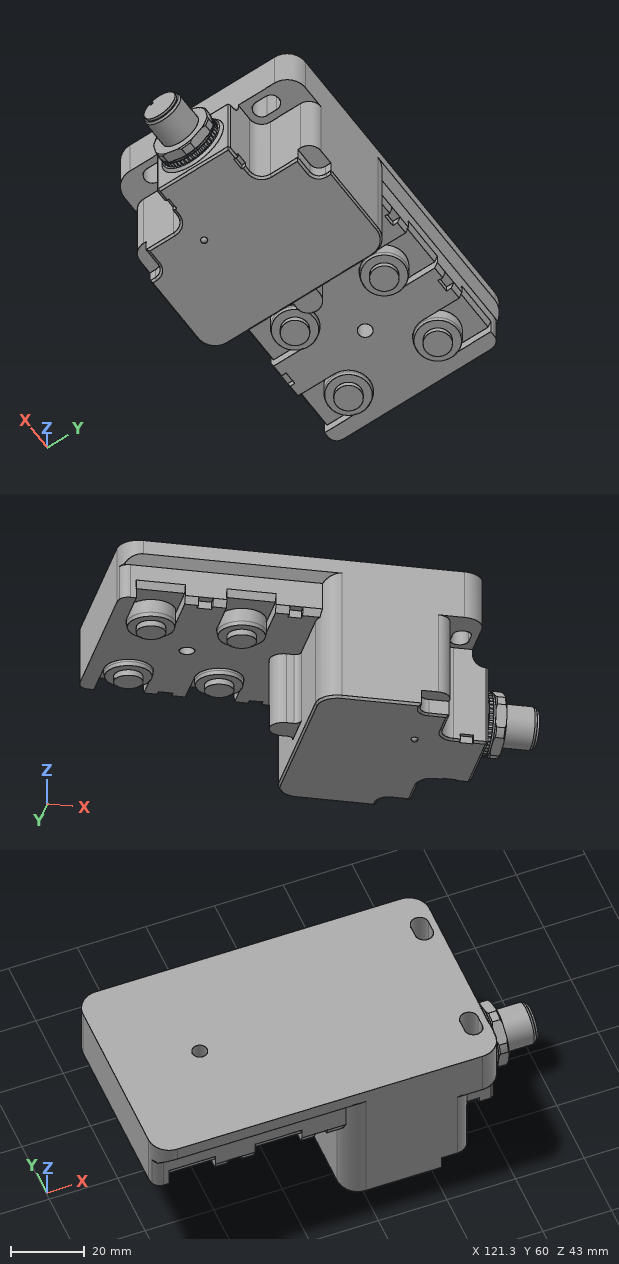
import cadquery as cq
import math


plate_length = 101.0
width = 60.0
half_width = width / 2
corner_radius = 6.1
block_left = 55.0
block_bottom = -42.1
base_chamfer_height = 0.7
base_chamfer_inset = 0.5

arm_bottom = -16.5
overhang_top = -4.1
side_step = 2.4
arm_half_width = half_width - side_step
step_bottom = overhang_top - side_step
arm_corner_radius = 3.0

relief_angle = 22.3
relief_height = 2.2
edge_notch_spans = [(22.0, 26.0), (47.2, 50.8)]
edge_notch_depth = 2.4

pad_x_places = [11.4, 36.5]
pad_y = 14.8
pad_diameter = 13.3
pad_top = -13.2
pad_bottom = -18.2
pad_taper_height = 1.1
pad_taper_inset = 0.2
stud_diameter = 8.0
stud_bottom = -19.9
pocket_diameter = 13.6
pocket_slope_top = -11.0

key_nose_radius = 3.9
key_nose_tip = 47.3
key_flare_radius = 1.7
key_bottom = -37.5

hub_end = 105.4
hub_half_width = 12.0
hub_top = -19.0
hub_fillet = 3.6
hub_chamfer_length = 0.7
hub_chamfer_inset = 0.4
flange_bottom = -14.0
shoulder_x = 91.7
shoulder_radius = 4.0

side_notch_left = 83.1
side_notch_depth = 4.9
side_notch_top = -37.5
side_notch_radius = 3.0
hub_notch_left = 97.6
hub_notch_right = 101.3
hub_notch_depth = 1.2
hub_notch_top = -40.0

dome_x = 85.3
dome_y = -10.4
dome_bottom = -43.0
dome_radius = 1.0

hole_diameter = 4.2
hole_x = 24.5
slot_x = 96.4
slot_y = 18.1
slot_width = 5.1
slot_length = 8.2

connector_z = -30.0
collar_end = 106.3
collar_base_radius = 10.2
collar_tip_radius = 9.5
knurl_end = 107.6
knurl_radius = 9.0
knurl_depth = 0.4
knurl_teeth = 44
neck_radius = 8.5
nut_start = 108.2
nut_end = 111.2
nut_across_flats = 17.2
nut_corner_diameter = 18.4
nut_chamfer = 0.4
nut_turn = 10.0
barrel_diameter = 12.0
barrel_end = 119.6
barrel_chamfer_end = 120.3
barrel_tip_diameter = 11.4
insert_diameter = 10.4
insert_end = 121.0
pin_diameter = 1.0
pin_end = 121.3
pin_y = -2.7
pin_z = connector_z + 3.5

relief_slope = math.tan(math.radians(relief_angle))


def box(x_min, x_max, y_min, y_max, z_min, z_max):
    """Axis-aligned box between the given limits."""
    return (
        cq.Workplane("XY")
        .box(x_max - x_min, y_max - y_min, z_max - z_min, centered=False)
        .translate((x_min, y_min, z_min))
    )


def x_disc(x_start, x_end, start_radius, end_radius):
    """Cylinder or cone about the connector axis."""
    profile = [(x_start, 0), (x_start, start_radius), (x_end, end_radius), (x_end, 0)]
    return (
        cq.Workplane("XZ")
        .polyline(profile)
        .close()
        .revolve(360, (0, 0, 0), (1, 0, 0))
        .translate((0, 0, connector_z))
    )


def both_sides(shape):
    """The shape together with its mirror image across Y = 0."""
    return shape.union(shape.mirror("XZ"))


def arm():
    """Plate with stepped sides; the lower part is narrower and has its own corner radius."""
    plate = box(0, plate_length, -half_width, half_width, arm_bottom, 0)
    plate = plate.edges("|Z").fillet(corner_radius)
    section = (
        cq.Workplane("YZ")
        .moveTo(-half_width, 0)
        .lineTo(half_width, 0)
        .lineTo(half_width, overhang_top)
        .lineTo(arm_half_width, step_bottom)
        .lineTo(arm_half_width, arm_bottom)
        .lineTo(-arm_half_width, arm_bottom)
        .lineTo(-arm_half_width, step_bottom)
        .lineTo(-half_width, overhang_top)
        .close()
        .extrude(plate_length)
    )
    lower = box(0, plate_length, -arm_half_width, arm_half_width, arm_bottom, step_bottom)
    lower = lower.edges("|Z and <X").fillet(arm_corner_radius)
    upper = box(0, plate_length, -half_width, half_width, step_bottom, 0)
    return plate.intersect(section).intersect(upper.union(lower))


def shoulder_cut():
    """Corner space beside the hub, bounded by an S-shaped wall, on the +Y side."""
    convex_start = shoulder_x - shoulder_radius
    concave_end = shoulder_x + shoulder_radius
    arc_reach = shoulder_radius * math.sqrt(0.5)
    return (
        cq.Workplane("XY", origin=(0, 0, block_bottom))
        .moveTo(convex_start, half_width)
        .threePointArc(
            (convex_start + arc_reach, half_width - shoulder_radius + arc_reach),
            (shoulder_x, half_width - shoulder_radius),
        )
        .lineTo(shoulder_x, hub_half_width + shoulder_radius)
        .threePointArc(
            (concave_end - arc_reach, hub_half_width + shoulder_radius - arc_reach),
            (concave_end, hub_half_width),
        )
        .lineTo(hub_end, hub_half_width)
        .lineTo(hub_end, half_width)
        .close()
        .extrude(flange_bottom - block_bottom)
    )


def side_notch():
    """Cut-out in the bottom edge of the block, ahead of the shoulder, on the +Y side."""
    back = half_width - side_notch_depth
    notch = box(side_notch_left, shoulder_x, back, half_width, block_bottom, side_notch_top)
    return notch.edges("|Z and <X and <Y").fillet(side_notch_radius)


def hub_notch():
    """Small square cut-out in the bottom edge of the hub on the +Y side."""
    back = hub_half_width - hub_notch_depth
    return box(hub_notch_left, hub_notch_right, back, hub_half_width, block_bottom, hub_notch_top)


def block():
    """Deep block with the hub, its shoulders and the chamfered base edge."""
    body = box(block_left, plate_length, -half_width, half_width, block_bottom, 0)
    body = body.edges("|Z").fillet(corner_radius)
    hub = box(plate_length - corner_radius, hub_end, -hub_half_width, hub_half_width, block_bottom, hub_top)
    fillet_offset = hub_fillet * (1 - math.sqrt(0.5))
    web = (
        cq.Workplane("XZ", origin=(0, hub_half_width, 0))
        .moveTo(plate_length, hub_top)
        .lineTo(plate_length, hub_top + hub_fillet)
        .threePointArc(
            (plate_length + fillet_offset, hub_top + fillet_offset),
            (plate_length + hub_fillet, hub_top),
        )
        .close()
        .extrude(2 * hub_half_width)
    )
    body = body.cut(both_sides(shoulder_cut())).union(hub)
    corner = (
        cq.Workplane("XY", origin=(0, 0, block_bottom))
        .moveTo(hub_end - hub_chamfer_length, hub_half_width)
        .lineTo(hub_end, hub_half_width)
        .lineTo(hub_end, hub_half_width - hub_chamfer_inset)
        .close()
        .extrude(hub_top - block_bottom)
    )
    body = body.cut(both_sides(corner)).cut(both_sides(side_notch()))
    body = body.faces("<Z").chamfer(base_chamfer_height, base_chamfer_inset)
    return body.union(web).cut(both_sides(hub_notch()))


def key():
    """Round-nosed rib flaring into the block's left wall with concave fillets."""
    nose_center = key_nose_tip + key_nose_radius
    flare_start = block_left - key_flare_radius
    flare_half_width = key_nose_radius + key_flare_radius
    arc_offset = key_flare_radius * (1 - math.sqrt(0.5))
    inner = block_left + corner_radius
    return (
        cq.Workplane("XY", origin=(0, 0, key_bottom))
        .moveTo(nose_center, -key_nose_radius)
        .threePointArc((key_nose_tip, 0), (nose_center, key_nose_radius))
        .lineTo(flare_start, key_nose_radius)
        .threePointArc(
            (block_left - arc_offset, key_nose_radius + arc_offset),
            (block_left, flare_half_width),
        )
        .lineTo(inner, flare_half_width)
        .lineTo(inner, -flare_half_width)
        .lineTo(block_left, -flare_half_width)
        .threePointArc(
            (block_left - arc_offset, -key_nose_radius - arc_offset),
            (flare_start, -key_nose_radius),
        )
        .close()
        .extrude(arm_bottom - key_bottom)
    )


def sloped_cut(x_min, x_max, slope_top, slope_bottom):
    """Wedge off the +Y side of the arm, deepening downwards at the relief angle."""
    depth = (slope_top - slope_bottom) * relief_slope
    return (
        cq.Workplane("YZ", origin=(x_min, 0, 0))
        .moveTo(arm_half_width, slope_top)
        .lineTo(arm_half_width, slope_bottom)
        .lineTo(arm_half_width - depth, slope_bottom)
        .close()
        .extrude(x_max - x_min)
    )


def edge_relief():
    """Sloped relief from the first pad to the block, with the notches cut deeper into it."""
    relief_top = arm_bottom + relief_height
    cutter = sloped_cut(pad_x_places[0], block_left + corner_radius, relief_top, arm_bottom)
    for left, right in edge_notch_spans:
        notch_floor = arm_half_width - edge_notch_depth
        cutter = cutter.union(box(left, right, notch_floor, arm_half_width, arm_bottom, relief_top))
    return cutter


def pad_pocket(x):
    """Round-ended pocket that runs from the pad out through the +Y side of the arm."""
    radius = pocket_diameter / 2
    height = pad_top - arm_bottom
    end = cq.Workplane("XY", origin=(x, pad_y, arm_bottom)).circle(radius).extrude(height)
    channel = box(x - radius, x + radius, pad_y, arm_half_width, arm_bottom, pad_top)
    slope = sloped_cut(x - radius, x + radius, pocket_slope_top, pad_top)
    return end.union(channel).union(slope)


def through_holes():
    """Round hole in the arm and two slots in the flange."""
    depth = -block_bottom
    base = cq.Workplane("XY", origin=(0, 0, block_bottom))
    hole = base.center(hole_x, 0).circle(hole_diameter / 2).extrude(depth)
    slots = (
        base.pushPoints([(slot_x, -slot_y), (slot_x, slot_y)])
        .slot2D(slot_length, slot_width, 90)
        .extrude(depth)
    )
    return hole.union(slots)


def make_housing():
    """Arm, block and key in one solid, with all pockets and holes."""
    arm_limit = box(0, block_left + corner_radius, -half_width, half_width, arm_bottom, 0)
    arm_cuts = edge_relief()
    for x in pad_x_places:
        arm_cuts = arm_cuts.union(pad_pocket(x))
    arm_body = arm().intersect(arm_limit).cut(both_sides(arm_cuts))
    dome = cq.Workplane("XY").sphere(dome_radius).translate((dome_x, dome_y, dome_bottom + dome_radius))
    return (
        block()
        .union(arm_body)
        .union(key())
        .union(dome)
        .cut(through_holes())
    )


def make_pad(x, y):
    """Disc with a slightly tapered lower rim and a smaller stud below it."""
    radius = pad_diameter / 2
    disc = cq.Workplane("XY", origin=(x, y, pad_bottom)).circle(radius).extrude(pad_top - pad_bottom)
    disc = disc.faces("<Z").chamfer(pad_taper_height, pad_taper_inset)
    stud = (
        cq.Workplane("XY", origin=(x, y, stud_bottom))
        .circle(stud_diameter / 2)
        .extrude(pad_bottom - stud_bottom)
    )
    return disc.union(stud)


def knurl():
    """Ring with V-shaped serrations around the connector axis."""
    points = []
    for step in range(2 * knurl_teeth):
        radius = knurl_radius - knurl_depth * (step % 2)
        angle = math.pi * step / knurl_teeth
        points.append((radius * math.cos(angle), radius * math.sin(angle)))
    return (
        cq.Workplane("YZ", origin=(collar_end, 0, connector_z))
        .polyline(points)
        .close()
        .extrude(knurl_end - collar_end)
    )


def make_connector():
    """Collar, knurl, neck and barrel with an insert and a pin at the free end."""
    barrel_radius = barrel_diameter / 2
    insert_radius = insert_diameter / 2
    pin = (
        cq.Workplane("YZ", origin=(barrel_end, pin_y, pin_z))
        .circle(pin_diameter / 2)
        .extrude(pin_end - barrel_end)
    )
    return (
        x_disc(hub_end, collar_end, collar_base_radius, collar_tip_radius)
        .union(knurl())
        .union(x_disc(knurl_end, nut_start, neck_radius, neck_radius))
        .union(x_disc(nut_start, barrel_end, barrel_radius, barrel_radius))
        .union(x_disc(barrel_end, barrel_chamfer_end, barrel_radius, barrel_tip_diameter / 2))
        .union(x_disc(barrel_chamfer_end, insert_end, insert_radius, insert_radius))
        .union(pin)
    )


def make_nut():
    """Hexagon nut with its corners turned down, bored to fit the barrel."""
    length = nut_end - nut_start
    hexagon_radius = nut_across_flats / math.sqrt(3)
    base = cq.Workplane("YZ", origin=(nut_start, 0, connector_z))
    hexagon = base.polygon(6, 2 * hexagon_radius).extrude(length)
    corner_to_flat = 30
    hexagon = hexagon.rotate((0, 0, connector_z), (1, 0, connector_z), corner_to_flat + nut_turn)
    turned = base.circle(nut_corner_diameter / 2).extrude(length).edges("%CIRCLE").chamfer(nut_chamfer)
    bore = base.circle(barrel_diameter / 2).extrude(length)
    return hexagon.intersect(turned).cut(bore)


housing = make_housing()
connector = make_connector()
nut = make_nut()
pads = [make_pad(x, y) for x in pad_x_places for y in (-pad_y, pad_y)]

result = cq.Compound.makeCompound(
    [housing.val(), connector.val(), nut.val(), *[pad.val() for pad in pads]]
)